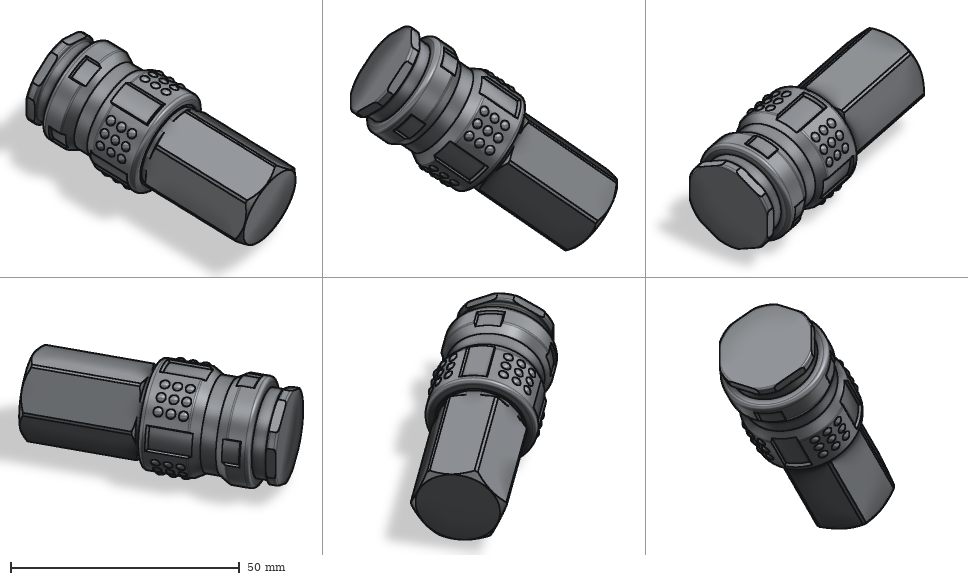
import cadquery as cq
import math


total_length = 58.79

flange_length = 2.3
flange_across_flats = 21.1
flange_corner_diameter = 22.5
flange_rim_fillet = 0.5

barrel_diameter = 20.3
barrel_root_fillet = 0.38

collar_diameter = 19.3
collar_end = 32.2
rear_hex_start = 32.8
rear_hex_across_flats = 19.0
rear_hex_corner_diameter = 21.5
rear_hex_turn = 9.0
rear_chamfer_length = 1.25
rear_face_diameter = 18.8

sleeve_start = 5.6
sleeve_end = 30.95
sleeve_diameter = 25.0
sleeve_end_fillet = 1.05
waist_diameter = 22.0
waist_start = 13.5
waist_end = 17.05
waist_slope = 30.0
shoulder_fillet = 0.8
sleeve_turn = 9.6

panel_floor_diameter = 23.9
panel_rim_width = 6.4
panel_floor_width = 5.6
front_panel_rim = 7.6
front_panel_floor = 7.97
rear_panel_floor = 28.6
rear_panel_rim = 29.2

bump_diameter = 2.1
bump_height = 0.5
bump_rows = 3
bump_columns = 3
bump_middle_x = 24.15
bump_pitch_x = 2.9
bump_pitch_angle = 15.0

quarter_turns = [90.0 * i for i in range(4)]
gap_middle_angle = 45.0

sleeve_radius = sleeve_diameter / 2
waist_radius = waist_diameter / 2
barrel_radius = barrel_diameter / 2
clearance_radius = sleeve_diameter


def revolve_about_x(profile):
    """Turn a closed (x, radius) profile about the X axis."""
    return profile.close().revolve(360, (0, 0, 0), (1, 0, 0))


def hex_bar(across_flats, start, end, turn):
    """Hexagonal bar along X, with a pair of flats facing Y before it is turned."""
    corner_to_corner = across_flats / math.cos(math.radians(30))
    bar = cq.Workplane("YZ").workplane(offset=start).polygon(6, corner_to_corner).extrude(end - start)
    return bar.rotate((0, 0, 0), (1, 0, 0), 30 + turn)


def make_flange():
    """Hexagonal front flange whose corners are turned down and rounded at both rims."""
    disc = cq.Workplane("YZ").circle(flange_corner_diameter / 2).extrude(flange_length)
    envelope = disc.edges("%CIRCLE").fillet(flange_rim_fillet)
    return envelope.intersect(hex_bar(flange_across_flats, 0, flange_length, 0))


def make_barrel():
    """Plain cylinder through the sleeve, with a hollow fillet at the root of the flange."""
    arc_offset = barrel_root_fillet * (1 - math.sqrt(0.5))
    return revolve_about_x(
        cq.Workplane("XY")
        .moveTo(flange_length, 0)
        .lineTo(flange_length, barrel_radius + barrel_root_fillet)
        .threePointArc(
            (flange_length + arc_offset, barrel_radius + arc_offset),
            (flange_length + barrel_root_fillet, barrel_radius),
        )
        .lineTo(sleeve_end, barrel_radius)
        .lineTo(sleeve_end, 0)
    )


def make_rear_hex():
    """Long wrench hexagon with a turned collar in front and a chamfered rear end."""
    corner_radius = rear_hex_corner_diameter / 2
    collar_radius = collar_diameter / 2
    envelope = revolve_about_x(
        cq.Workplane("XY")
        .moveTo(sleeve_end, 0)
        .lineTo(sleeve_end, collar_radius)
        .lineTo(collar_end, collar_radius)
        .lineTo(rear_hex_start, corner_radius)
        .lineTo(total_length - rear_chamfer_length, corner_radius)
        .lineTo(total_length, rear_face_diameter / 2)
        .lineTo(total_length, 0)
    )
    return envelope.intersect(hex_bar(rear_hex_across_flats, sleeve_end, total_length, 30 + rear_hex_turn))


core = make_flange().union(make_barrel()).union(make_rear_hex())


def outer_rim_at(x):
    """Selector for the full-diameter sleeve rim at a given X, leaving out the bore edge."""
    tolerance = 0.01
    between_bore_and_rim = (barrel_radius + sleeve_radius) / 2
    at_x = cq.selectors.BoxSelector(
        (x - tolerance, -clearance_radius, -clearance_radius),
        (x + tolerance, clearance_radius, clearance_radius),
        boundingbox=True,
    )
    bore_edge = cq.selectors.BoxSelector(
        (x - tolerance, -between_bore_and_rim, -between_bore_and_rim),
        (x + tolerance, between_bore_and_rim, between_bore_and_rim),
        boundingbox=True,
    )
    return at_x - bore_edge


def make_sleeve_shell():
    """Turned sleeve with rounded ends and a waist between two rounded shoulders."""
    cone_length = (sleeve_radius - waist_radius) / math.tan(math.radians(waist_slope))
    front_shoulder = waist_start - cone_length
    rear_shoulder = waist_end + cone_length
    blank = revolve_about_x(
        cq.Workplane("XY")
        .moveTo(sleeve_start, barrel_radius)
        .lineTo(sleeve_start, sleeve_radius)
        .lineTo(front_shoulder, sleeve_radius)
        .lineTo(waist_start, waist_radius)
        .lineTo(waist_end, waist_radius)
        .lineTo(rear_shoulder, sleeve_radius)
        .lineTo(sleeve_end, sleeve_radius)
        .lineTo(sleeve_end, barrel_radius)
    )

    for x, radius in (
        (sleeve_start, sleeve_end_fillet),
        (front_shoulder, shoulder_fillet),
        (rear_shoulder, shoulder_fillet),
        (sleeve_end, sleeve_end_fillet),
    ):
        blank = blank.edges(outer_rim_at(x)).fillet(radius)
    return blank


def make_panel_cutter():
    """Front and rear panel cutter on the +Z side: turned end walls, sloping straight side walls."""
    floor_radius = panel_floor_diameter / 2
    wall_rise = sleeve_radius - floor_radius
    outer_radius = sleeve_radius + wall_rise
    front_end = 2 * front_panel_rim - front_panel_floor
    rear_end = 2 * rear_panel_rim - rear_panel_floor
    ring = revolve_about_x(
        cq.Workplane("XY")
        .moveTo(front_end, outer_radius)
        .lineTo(front_panel_floor, floor_radius)
        .lineTo(rear_panel_floor, floor_radius)
        .lineTo(rear_end, outer_radius)
    )
    rim_half = panel_rim_width / 2
    floor_half = panel_floor_width / 2
    rim_height = math.sqrt(sleeve_radius**2 - rim_half**2)
    floor_height = math.sqrt(floor_radius**2 - floor_half**2)
    flare = (rim_half - floor_half) / (rim_height - floor_height)
    bottom_height = floor_height - wall_rise
    bottom_half = floor_half - flare * wall_rise
    top_half = floor_half + flare * (outer_radius - floor_height)
    wedge = (
        cq.Workplane("YZ")
        .moveTo(-bottom_half, bottom_height)
        .lineTo(bottom_half, bottom_height)
        .lineTo(top_half, outer_radius)
        .lineTo(-top_half, outer_radius)
        .close()
        .extrude(sleeve_end)
    )
    return ring.intersect(wedge)


def make_bump(x, angle):
    """Domed bump standing on the sleeve at an angle about X measured from +Z."""
    base_half = bump_diameter / 2
    dome_radius = (base_half**2 + bump_height**2) / (2 * bump_height)
    dome_centre = sleeve_radius + bump_height - dome_radius
    dome = cq.Workplane("XY").sphere(dome_radius).translate((x, 0, dome_centre))
    return dome.rotate((0, 0, 0), (1, 0, 0), angle)


def make_sleeve():
    """Sleeve shell with four pairs of panels and a field of bumps in each gap between them."""
    sleeve = make_sleeve_shell()
    panel_cutter = make_panel_cutter()
    for turn in quarter_turns:
        sleeve = sleeve.cut(panel_cutter.rotate((0, 0, 0), (1, 0, 0), turn + sleeve_turn))
    for turn in quarter_turns:
        for row in range(bump_rows):
            angle = turn + gap_middle_angle + sleeve_turn + (row - (bump_rows - 1) / 2) * bump_pitch_angle
            for column in range(bump_columns):
                x = bump_middle_x + (column - (bump_columns - 1) / 2) * bump_pitch_x
                sleeve = sleeve.union(make_bump(x, angle))
    return sleeve


sleeve = make_sleeve()

result = cq.Compound.makeCompound([core.solids().val(), sleeve.solids().val()])